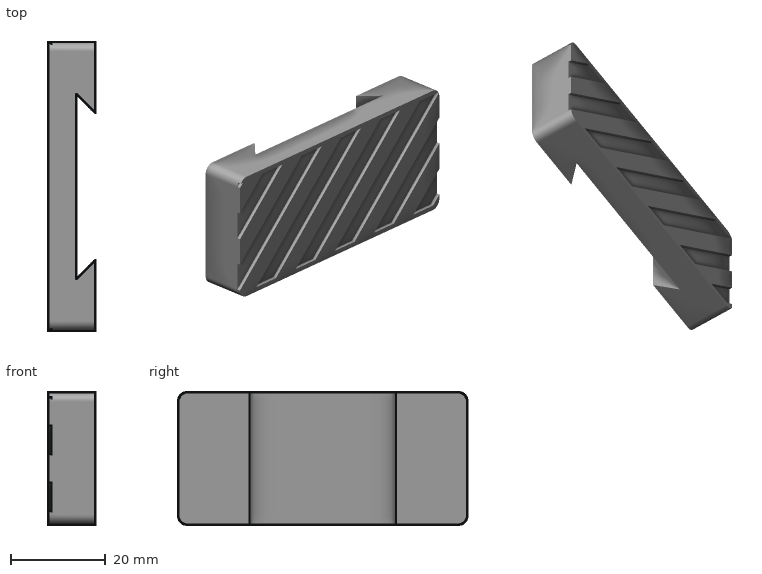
import cadquery as cq

thickness = 10.0
length = 61.0
height = 28.0
corner_radius = 2.0

channel_depth = 4.0
channel_floor_width = 39.05
channel_mouth_width = channel_floor_width - 2 * channel_depth

groove_depth = 0.75
groove_pitch = 12.0
groove_width = groove_pitch / 2
groove_end_margin = 1.05
first_groove_y = 61.55
groove_count = 8

front_x = -thickness / 2
back_x = thickness / 2


def make_block():
    block = cq.Workplane("XY").box(thickness, length, height)
    return block.edges("|X").fillet(corner_radius)


def make_channel():
    floor_x = back_x - channel_depth
    half_floor = channel_floor_width / 2
    half_mouth = channel_mouth_width / 2
    outline = [
        (floor_x, -half_floor),
        (back_x, -half_mouth),
        (back_x, half_mouth),
        (floor_x, half_floor),
    ]
    return cq.Workplane("XY").polyline(outline).close().extrude(height / 2, both=True)


def make_groove(start_y):
    """Groove rising toward -Y at 45 degrees from start_y at its lower end."""
    half_rise = height / 2 - groove_end_margin
    run = 2 * half_rise
    outline = [
        (start_y, -half_rise),
        (start_y - groove_width, -half_rise),
        (start_y - groove_width - run, half_rise),
        (start_y - run, half_rise),
    ]
    plane = cq.Workplane("YZ", origin=(front_x, 0, 0))
    return plane.polyline(outline).close().extrude(groove_depth)


result = make_block().cut(make_channel())
for index in range(groove_count):
    result = result.cut(make_groove(first_groove_y - index * groove_pitch))